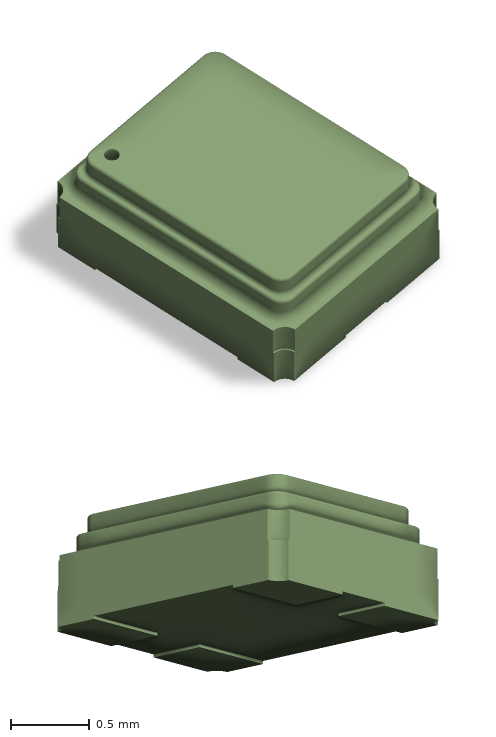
import cadquery as cq

LENGTH = 2.0
WIDTH = 1.6
HEIGHT = 0.75

FOOT_LENGTH = 0.4
FOOT_WIDTH = 0.6
FOOT_THICKNESS = 0.02
LINING_TOP = 0.27
LINING_THICKNESS = 0.01

BASE_TOP = 0.47
RECESS_RADIUS = 0.1
LINING_RADIUS = RECESS_RADIUS - LINING_THICKNESS

FRAME_TOP = 0.62
FRAME_INSET = 0.1
LID_INSET = 0.15
TIER_CORNER_RADIUS = 0.1
TIER_EDGE_RADIUS = 0.02
FRAME_FOOT_RADIUS = FRAME_INSET / 2
LID_FOOT_RADIUS = 0.02

MARKER_DIAMETER = 0.1
MARKER_DEPTH = 0.1
MARKER_X = -0.715
MARKER_Y = -0.5

CORNERS = [(x * LENGTH / 2, y * WIDTH / 2) for x in (-1, 1) for y in (-1, 1)]


def corner_cylinders(corners, radius, bottom, top):
    """Vertical cylinders standing on the given package corners."""
    return (
        cq.Workplane("XY", origin=(0, 0, bottom))
        .pushPoints(corners)
        .circle(radius)
        .extrude(top - bottom)
    )


def make_base():
    """Rectangular block with a quarter-round recess down each vertical corner."""
    block = (
        cq.Workplane("XY", origin=(0, 0, FOOT_THICKNESS))
        .rect(LENGTH, WIDTH)
        .extrude(BASE_TOP - FOOT_THICKNESS)
    )
    return block.cut(corner_cylinders(CORNERS, RECESS_RADIUS, FOOT_THICKNESS, BASE_TOP))


def add_tier(housing, inset, bottom, top, foot_radius):
    """Stack a rounded tier on the housing and blend its foot into the face below."""
    tier_length = LENGTH - 2 * inset
    tier_width = WIDTH - 2 * inset
    tier = (
        cq.Workplane("XY", origin=(0, 0, bottom))
        .rect(tier_length, tier_width)
        .extrude(top - bottom)
        .edges("|Z")
        .fillet(TIER_CORNER_RADIUS)
        .faces(">Z")
        .edges()
        .fillet(TIER_EDGE_RADIUS)
    )
    margin = TIER_EDGE_RADIUS / 4
    foot_edges = cq.selectors.BoxSelector(
        (-tier_length / 2 - margin, -tier_width / 2 - margin, bottom - margin),
        (tier_length / 2 + margin, tier_width / 2 + margin, bottom + margin),
        boundingbox=True,
    )
    return housing.union(tier).edges(foot_edges).fillet(foot_radius)


def cut_marker(housing):
    """Drill the round pin 1 marker into the lid."""
    marker = (
        cq.Workplane("XY", origin=(MARKER_X, MARKER_Y, HEIGHT - MARKER_DEPTH))
        .circle(MARKER_DIAMETER / 2)
        .extrude(MARKER_DEPTH)
    )
    return housing.cut(marker)


def make_housing():
    """Base, frame and lid as one solid, with the pin 1 marker."""
    housing = make_base()
    housing = add_tier(housing, FRAME_INSET, BASE_TOP, FRAME_TOP, FRAME_FOOT_RADIUS)
    housing = add_tier(housing, LID_INSET, FRAME_TOP, HEIGHT, LID_FOOT_RADIUS)
    return cut_marker(housing)


def make_terminal(corner):
    """Foot and corner lining as one solid, hollowed by a quarter-round notch."""
    x, y = corner
    foot_x = x - FOOT_LENGTH / 2 if x > 0 else x + FOOT_LENGTH / 2
    foot_y = y - FOOT_WIDTH / 2 if y > 0 else y + FOOT_WIDTH / 2
    foot = (
        cq.Workplane("XY", origin=(foot_x, foot_y, 0))
        .rect(FOOT_LENGTH, FOOT_WIDTH)
        .extrude(FOOT_THICKNESS)
    )
    package = cq.Workplane("XY").rect(LENGTH, WIDTH).extrude(HEIGHT)
    lining = corner_cylinders([corner], RECESS_RADIUS, 0, LINING_TOP).intersect(package)
    notch = corner_cylinders([corner], LINING_RADIUS, 0, LINING_TOP)
    return foot.union(lining).cut(notch)


housing = make_housing()
terminals = [make_terminal(corner) for corner in CORNERS]

result = cq.Compound.makeCompound([housing.val(), *[terminal.val() for terminal in terminals]])